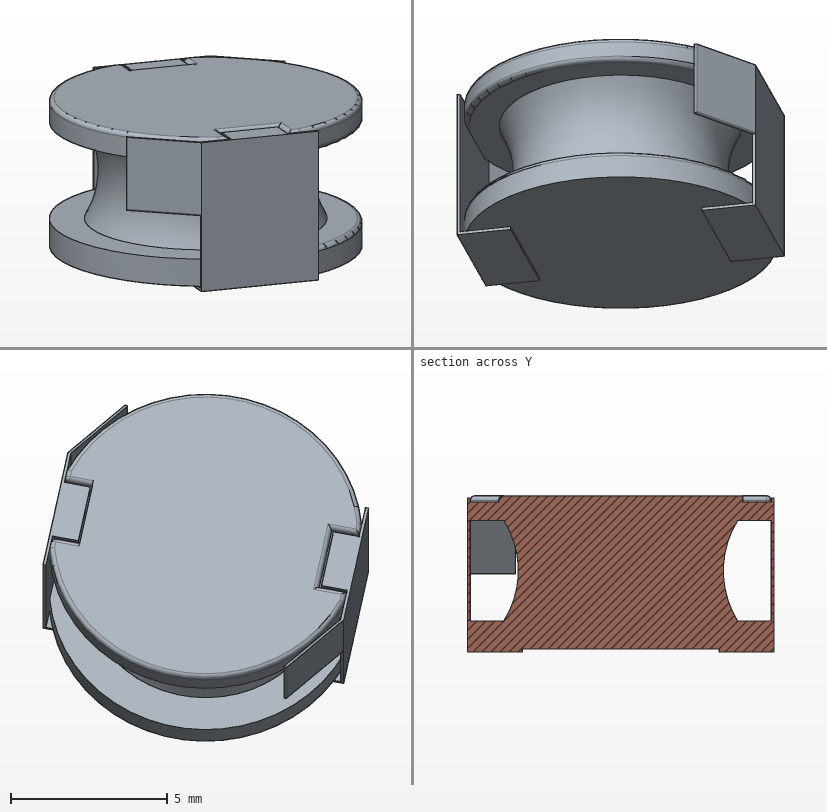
import cadquery as cq
import math

drum_radius = 5
flat_x = 4.8
lower_bottom_z = 0.1
lower_top_z = 1
upper_bottom_z = 4.2
upper_top_z = 5
neck_end_radius = 3.88
waist_radius = 3.44
rim_fillet = 0.15

notch_inner_x = 3.9
notch_half_width = 1.02
notch_depth = 0.2

sheet = 0.1
terminal_half_width = 2
terminal_top_z = 4.93
foot_length = 1.76
tab_gap = 0.06
wing_tip_x = 3.42
wing_tip_y = 4.02
wing_bottom_z = 2.5
wing_thickness = 0.08
wing_fillet = 0.05
selection_margin = 0.01

outer_x = flat_x + sheet


def block(x_range, y_range, z_range):
    """Axis-aligned box given by its limits."""
    size = [high - low for low, high in (x_range, y_range, z_range)]
    return cq.Workplane("XY").box(*size, centered=False).translate(
        (x_range[0], y_range[0], z_range[0])
    )


def flange(bottom_z, top_z):
    """Disc with a flat on each X side."""
    disc = cq.Workplane("XY").workplane(offset=bottom_z).circle(drum_radius).extrude(top_z - bottom_z)
    limits = block((-flat_x, flat_x), (-drum_radius, drum_radius), (bottom_z, top_z))
    return disc.intersect(limits)


def lower_flange():
    """Plain flange with the +Y arc of its upper rim rounded."""
    body = flange(lower_bottom_z, lower_top_z)
    return body.faces(">Z").edges(">Y").fillet(rim_fillet)


def notch():
    """Recess in the -X side of the upper flange."""
    return block(
        (-drum_radius, -notch_inner_x),
        (-notch_half_width, notch_half_width),
        (upper_top_z - notch_depth, upper_top_z),
    )


def upper_flange():
    """Notched flange with a rounded top edge, left sharp at the -X notch's inner wall."""
    body = flange(upper_bottom_z, upper_top_z)
    body = body.faces("<Z").edges(">Y").fillet(rim_fillet)
    body = body.cut(half_turn(notch()))
    body = body.faces(">Z").edges().fillet(rim_fillet)
    body = body.cut(notch())
    side_edges = cq.selectors.BoxSelector(
        (-flat_x, -notch_half_width - selection_margin, upper_top_z - selection_margin),
        (-notch_inner_x, notch_half_width + selection_margin, upper_top_z + selection_margin),
    )
    return body.faces(">Z").edges("|X").edges(side_edges).fillet(rim_fillet)


def neck():
    """Solid of revolution with a concave arc profile."""
    middle_z = (lower_top_z + upper_bottom_z) / 2
    return (
        cq.Workplane("XZ")
        .moveTo(0, lower_top_z)
        .lineTo(neck_end_radius, lower_top_z)
        .threePointArc((waist_radius, middle_z), (neck_end_radius, upper_bottom_z))
        .lineTo(0, upper_bottom_z)
        .close()
        .revolve(360, (0, 0, 0), (0, 1, 0))
    )


def wing():
    """Slanted upright plate running from the wall's +Y edge toward +Y."""
    run_x = outer_x - wing_tip_x
    run_y = wing_tip_y - terminal_half_width
    run = math.hypot(run_x, run_y)
    inward_x = wing_thickness * run_y / run
    inward_y = -wing_thickness * run_x / run
    plate = (
        cq.Workplane("XY")
        .workplane(offset=wing_bottom_z)
        .moveTo(-outer_x, terminal_half_width)
        .lineTo(-wing_tip_x, wing_tip_y)
        .lineTo(-wing_tip_x + inward_x, wing_tip_y + inward_y)
        .lineTo(-outer_x + inward_x, terminal_half_width + inward_y)
        .close()
        .extrude(terminal_top_z - wing_bottom_z)
    )
    outer_face = plate.faces(cq.selectors.DirectionMinMaxSelector(cq.Vector(-inward_x, -inward_y, 0)))
    free_edges = outer_face.edges("<Z or >Y")
    return free_edges.fillet(wing_fillet)


def terminal():
    """Wall on the -X flat, with a foot below, a tab in the notch and a wing."""
    width = (-terminal_half_width, terminal_half_width)
    tab_half_width = notch_half_width - tab_gap
    wall = block((-outer_x, -flat_x), width, (0, terminal_top_z))
    foot = block((-outer_x, foot_length - outer_x), width, (0, sheet))
    tab = block(
        (-outer_x, -notch_inner_x - tab_gap),
        (-tab_half_width, tab_half_width),
        (upper_top_z - notch_depth, terminal_top_z),
    )
    return wall.union(foot).union(tab).union(wing())


def half_turn(body):
    """Copy of a feature turned to the opposite X side."""
    return body.rotate((0, 0, 0), (0, 0, 1), 180)


core = lower_flange().union(neck()).union(upper_flange())
result = core.union(terminal()).union(half_turn(terminal()))